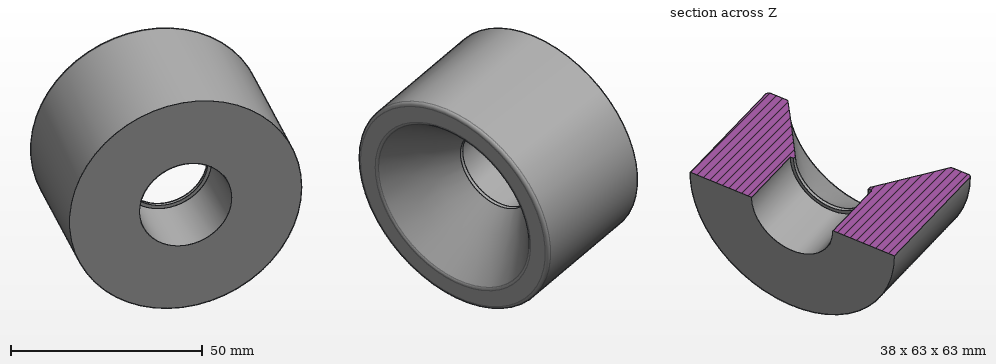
import cadquery as cq

length = 38.0
outer_diameter = 63.0
counterbore_diameter = 25.0
throat_diameter = 23.0
throat_length = 1.0
edge_radius = 1.0

outer_radius = outer_diameter / 2
counterbore_radius = counterbore_diameter / 2
throat_radius = throat_diameter / 2

wall_thickness = outer_radius - counterbore_radius
mouth_radius = outer_radius - wall_thickness / 3

front_x = -length / 2
back_x = length / 2
throat_end_x = 0.0
throat_start_x = throat_end_x - throat_length


def ring_body():
    """Revolve the half section (axial, radial) about the X axis."""
    half_section = [
        (front_x, mouth_radius),
        (front_x, outer_radius),
        (back_x, outer_radius),
        (back_x, counterbore_radius),
        (throat_end_x, counterbore_radius),
        (throat_end_x, throat_radius),
        (throat_start_x, throat_radius),
    ]
    profile = cq.Workplane("XY").polyline(half_section).close()
    return profile.revolve(360, (0, 0, 0), (1, 0, 0))


def round_front_edges(body):
    """Round the outer rim and the funnel mouth on the -X face."""
    return body.faces("<X").edges().fillet(edge_radius)


result = round_front_edges(ring_body())